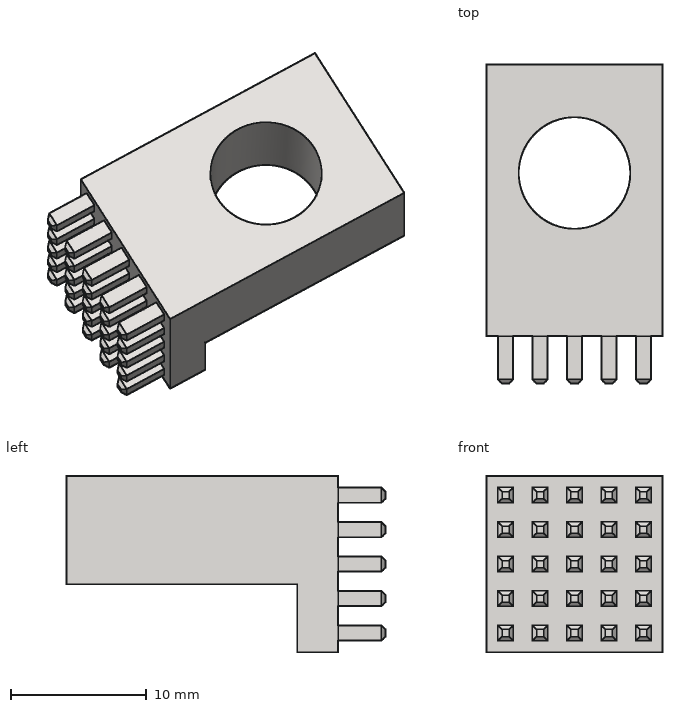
import cadquery as cq

width = 13.0
height = 13.0
overall_length = 23.5
pin_length = 3.5
body_length = overall_length - pin_length
arm_height = 8.0
foot_thickness = 3.0

hole_diameter = 8.2
hole_from_back = 8.0

pins_per_side = 5
pin_pitch = 2.54
pin_width = 1.13
tip_length = 0.3
tip_width = pin_width - 2 * tip_length
pin_root = 0.47


def make_body():
    """L-shaped side profile extruded across the width, pin face at Y = 0, top at Z = height / 2."""
    top = height / 2
    profile = [
        (0, -top),
        (0, top),
        (body_length, top),
        (body_length, top - arm_height),
        (foot_thickness, top - arm_height),
        (foot_thickness, -top),
    ]
    return cq.Workplane("YZ").polyline(profile).close().extrude(width / 2, both=True)


def make_hole():
    """Cylinder that cuts the hole through the arm."""
    return (
        cq.Workplane("XY")
        .center(0, body_length - hole_from_back)
        .circle(hole_diameter / 2)
        .extrude(height, both=True)
    )


def make_pin():
    """Straight square pin from the face Y = 0 towards -Y, ending in a truncated-pyramid tip."""
    shank_length = pin_length - tip_length
    root_plane = cq.Workplane("XZ", origin=(0, pin_root, 0))
    shank = root_plane.rect(pin_width, pin_width).extrude(pin_root + shank_length)
    return (
        shank.faces("<Y")
        .workplane()
        .rect(pin_width, pin_width)
        .workplane(offset=tip_length)
        .rect(tip_width, tip_width)
        .loft(ruled=True, combine=True)
    )


result = make_body().cut(make_hole())
pin = make_pin()
first_pin = -pin_pitch * (pins_per_side - 1) / 2
for column in range(pins_per_side):
    for row in range(pins_per_side):
        x = first_pin + column * pin_pitch
        z = first_pin + row * pin_pitch
        result = result.union(pin.translate((x, 0, z)))